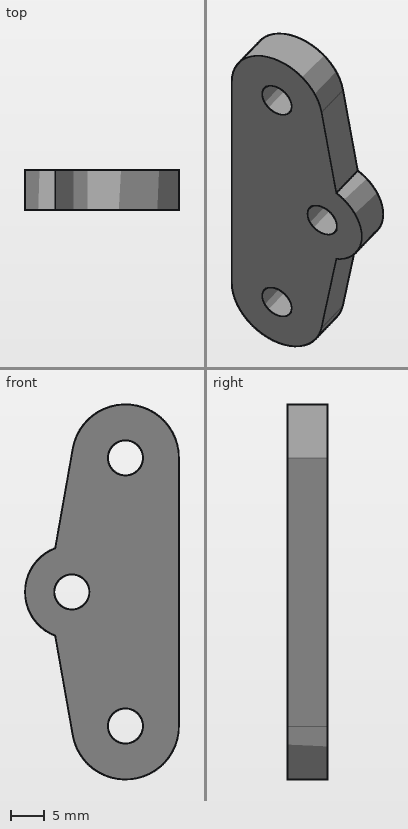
import cadquery as cq
import math

thickness = 6.0
hole_diameter = 5.2
end_hole_spacing = 40.0
end_radius = 8.0
side_hole_offset = 8.0
boss_radius = 7.0
edge_tilt = math.radians(10)

end_z = end_hole_spacing / 2
tangent_x = -end_radius * math.cos(edge_tilt)
tangent_z = end_z + end_radius * math.sin(edge_tilt)
apex_offset = end_radius / math.cos(edge_tilt) + end_z * math.tan(edge_tilt)
end_tip_z = end_z + end_radius

hole_centres = [(0, end_z), (0, -end_z), (-side_hole_offset, 0)]


def plate_sketch_plane():
    """XZ plane on the +Y face; extrusion from it runs towards -Y."""
    return cq.Workplane("XZ", origin=(0, thickness / 2, 0))


def make_plate():
    """Straight +X edge, rounded ends and two edges sloping out to the apex."""
    return (
        plate_sketch_plane()
        .moveTo(end_radius, -end_z)
        .lineTo(end_radius, end_z)
        .threePointArc((0, end_tip_z), (tangent_x, tangent_z))
        .lineTo(-apex_offset, 0)
        .lineTo(tangent_x, -tangent_z)
        .threePointArc((0, -end_tip_z), (end_radius, -end_z))
        .close()
        .extrude(thickness)
    )


def make_boss():
    """Round boss standing out of the sloping side around the side hole."""
    return plate_sketch_plane().center(-side_hole_offset, 0).circle(boss_radius).extrude(thickness)


def make_holes():
    """Cutters for the three through holes."""
    return plate_sketch_plane().pushPoints(hole_centres).circle(hole_diameter / 2).extrude(thickness)


result = make_plate().union(make_boss()).clean().cut(make_holes())